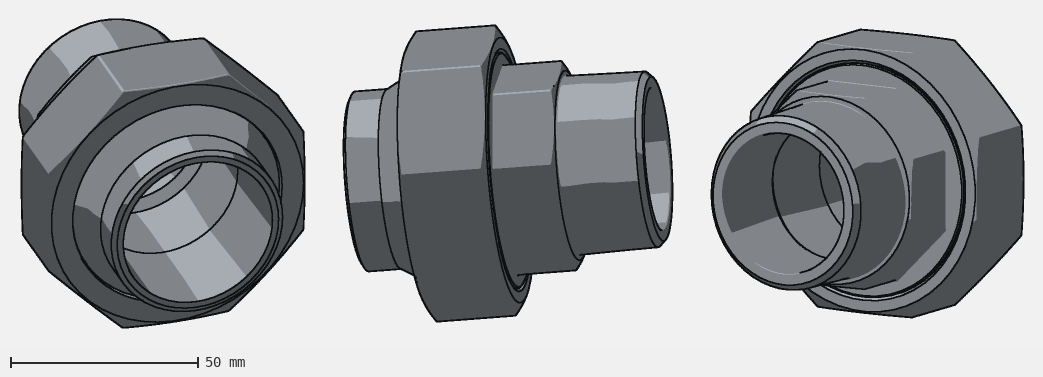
import cadquery as cq
import math

TOTAL_LENGTH = 81.0
OCTAGON_SIDES = 8
OCTAGON_EDGE_RADIUS = 1.05
CORNER_BEVEL_ANGLE = 20.0
BEVEL_RIM_RADIUS = 0.4
BEVEL_RING_OVERSIZE = 1.2
SMALL_FILLET = 0.5

MALE_BORE_DIAMETER = 38.0
MALE_END_DIAMETER = 44.0
TAPER_START_DIAMETER = 47.15
TAPER_END_DIAMETER = 48.0
TAPER_START = 1.6
SMALL_OCTAGON_START = 23.1
SMALL_OCTAGON_WIDTH = 52.0
SMALL_OCTAGON_FACE_DIAMETER = 50.8
BORE_CONE_START = 25.0
BORE_CONE_ANGLE = 30.0
FLANGE_FACE_DIAMETER = 62.5
FLANGE_DIAMETER = 63.35
JOINT = 52.0

NUT_START = 40.0
NUT_LENGTH = 24.0
NUT_WIDTH = 72.0
NUT_FACE_DIAMETER = 71.0
NUT_MOUTH_DIAMETER = 65.0
NUT_NECK_DIAMETER = 59.0
NUT_NECK_LENGTH = 6.0

TAIL_BORE_DIAMETER = 42.0
TAIL_COLLAR_DIAMETER = 58.5
TAIL_END_DIAMETER = 48.3
TAIL_CONE_END = 71.3
TAIL_CONE_ANGLE = 30.0
TAIL_BEVEL_LENGTH = 0.8
TAIL_BEVEL_ANGLE = 60.0

NUT_END = NUT_START + NUT_LENGTH
NUT_SHOULDER = NUT_END - NUT_NECK_LENGTH
FLANGE_START = NUT_START


def cone_length(diameter_a, diameter_b, angle):
    """Length of a cone between two diameters, with the angle in degrees from the axis."""
    return abs(diameter_a - diameter_b) / 2 / math.tan(math.radians(angle))


def revolve(points):
    """Turn a closed outline of (station, diameter) points around the X axis."""
    outline = [(station, diameter / 2) for station, diameter in points]
    return cq.Workplane("XY").polyline(outline).close().revolve(360, (0, 0, 0), (1, 0, 0))


def edges_on_plane(body, station, reach):
    """Edges that lie across X at a station and stay within a reach of the axis."""
    slack = 0.1
    low = (station - slack, -reach, -reach)
    high = (station + slack, reach, reach)
    return body.edges(cq.selectors.BoxSelector(low, high, boundingbox=True))


def bevel_ring(face, inward, face_diameter, width):
    """Ring that cuts the corners of an octagon back from its end face; inward is +1 or -1 along X."""
    outer_diameter = BEVEL_RING_OVERSIZE * width
    depth = (outer_diameter - face_diameter) / 2 * math.tan(math.radians(CORNER_BEVEL_ANGLE))
    return revolve([
        (face, face_diameter),
        (face, outer_diameter),
        (face + inward * depth, outer_diameter),
    ])


def octagon(start, end, width):
    """Octagonal prism along X with sides facing along Y and Z and rounded long edges."""
    corner_diameter = width / math.cos(math.pi / OCTAGON_SIDES)
    return (
        cq.Workplane("YZ", origin=(start, 0, 0))
        .transformed(rotate=(0, 0, 180 / OCTAGON_SIDES))
        .polygon(OCTAGON_SIDES, corner_diameter)
        .extrude(end - start)
        .edges("|X")
        .fillet(OCTAGON_EDGE_RADIUS)
    )


def round_bevel_rims(body):
    """Round the edges where the conical bevels meet the sides of an octagon."""
    return body.faces("%CONE").edges("not %CIRCLE").fillet(BEVEL_RIM_RADIUS)


def make_male_bore():
    cone_end = BORE_CONE_START + cone_length(MALE_BORE_DIAMETER, TAIL_BORE_DIAMETER, BORE_CONE_ANGLE)
    return revolve([
        (0, 0),
        (0, MALE_BORE_DIAMETER),
        (BORE_CONE_START, MALE_BORE_DIAMETER),
        (cone_end, TAIL_BORE_DIAMETER),
        (JOINT, TAIL_BORE_DIAMETER),
        (JOINT, 0),
    ])


def make_male_end():
    grip = octagon(SMALL_OCTAGON_START, FLANGE_START, SMALL_OCTAGON_WIDTH)
    grip = grip.cut(bevel_ring(SMALL_OCTAGON_START, 1, SMALL_OCTAGON_FACE_DIAMETER, SMALL_OCTAGON_WIDTH))
    grip = round_bevel_rims(grip)

    flange_chamfer = (FLANGE_DIAMETER - FLANGE_FACE_DIAMETER) / 2
    flange = revolve([
        (FLANGE_START, 0),
        (FLANGE_START, FLANGE_FACE_DIAMETER),
        (FLANGE_START + flange_chamfer, FLANGE_DIAMETER),
        (JOINT, FLANGE_DIAMETER),
        (JOINT, 0),
    ])
    body = grip.union(flange)
    grip_reach = SMALL_OCTAGON_WIDTH / 2 + SMALL_FILLET
    body = edges_on_plane(body, FLANGE_START, grip_reach).fillet(SMALL_FILLET)

    thread = revolve([
        (0, 0),
        (0, MALE_END_DIAMETER),
        (TAPER_START, TAPER_START_DIAMETER),
        (SMALL_OCTAGON_START, TAPER_END_DIAMETER),
        (SMALL_OCTAGON_START, 0),
    ])
    body = body.union(thread)
    thread_reach = TAPER_END_DIAMETER / 2 + SMALL_FILLET
    body = edges_on_plane(body, SMALL_OCTAGON_START, thread_reach).fillet(SMALL_FILLET)

    body = body.cut(make_male_bore())
    mouth_reach = MALE_BORE_DIAMETER / 2 + SMALL_FILLET
    return edges_on_plane(body, 0, mouth_reach).fillet(SMALL_FILLET)


def make_nut():
    nut = octagon(NUT_START, NUT_END, NUT_WIDTH)
    for face, inward in ((NUT_START, 1), (NUT_END, -1)):
        nut = nut.cut(bevel_ring(face, inward, NUT_FACE_DIAMETER, NUT_WIDTH))
    nut = round_bevel_rims(nut)

    mouth_chamfer = (NUT_MOUTH_DIAMETER - FLANGE_DIAMETER) / 2
    hole = revolve([
        (NUT_START, 0),
        (NUT_START, NUT_MOUTH_DIAMETER),
        (NUT_START + mouth_chamfer, FLANGE_DIAMETER),
        (NUT_SHOULDER, FLANGE_DIAMETER),
        (NUT_SHOULDER, NUT_NECK_DIAMETER),
        (NUT_END, NUT_NECK_DIAMETER),
        (NUT_END, 0),
    ])
    return nut.cut(hole)


def make_tailpiece():
    cone_start = TAIL_CONE_END - cone_length(TAIL_COLLAR_DIAMETER, TAIL_END_DIAMETER, TAIL_CONE_ANGLE)
    bevel_drop = TAIL_BEVEL_LENGTH * math.tan(math.radians(TAIL_BEVEL_ANGLE))
    return revolve([
        (JOINT, TAIL_BORE_DIAMETER),
        (JOINT, FLANGE_DIAMETER),
        (NUT_SHOULDER, FLANGE_DIAMETER),
        (NUT_SHOULDER, TAIL_COLLAR_DIAMETER),
        (cone_start, TAIL_COLLAR_DIAMETER),
        (TAIL_CONE_END, TAIL_END_DIAMETER),
        (TOTAL_LENGTH - TAIL_BEVEL_LENGTH, TAIL_END_DIAMETER),
        (TOTAL_LENGTH, TAIL_END_DIAMETER - 2 * bevel_drop),
        (TOTAL_LENGTH, TAIL_BORE_DIAMETER),
    ])


male_end = make_male_end()
nut = make_nut()
tailpiece = make_tailpiece()
result = cq.Compound.makeCompound([body.solids().val() for body in (male_end, nut, tailpiece)])